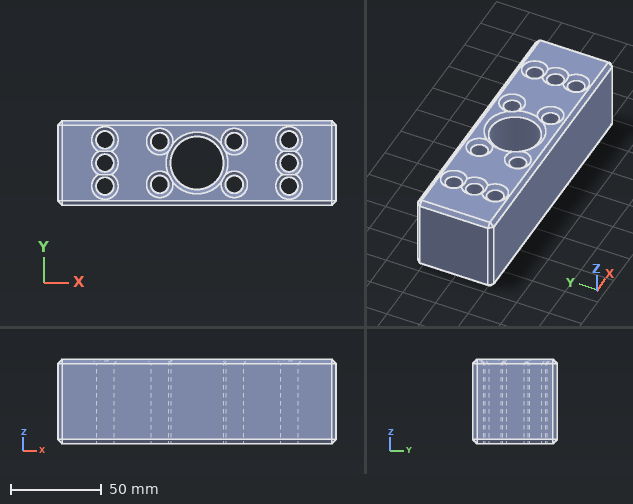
import cadquery as cq

length = 153.3
side = 46.8
chamfer = 2.5

bore_diameter = 29.1
small_diameter = 9.7
row_x = 50.7
row_pitch = 12.7
bolt_x = 20.5
bolt_y = 11.8


def chamfered_hole(x, y, diameter):
    """Cutter for a through hole with a 45 degree chamfer at the top face."""
    radius = diameter / 2
    mouth_radius = radius + chamfer
    top = side / 2
    drill = cq.Workplane("XY").circle(radius).extrude(side).translate((x, y, -top))
    mouth = cq.Solid.makeCone(radius, mouth_radius, chamfer, cq.Vector(x, y, top - chamfer))
    return drill.union(cq.Workplane(obj=mouth))


block = cq.Workplane("XY").box(length, side, side).edges().chamfer(chamfer)

row_points = [(x, y) for x in (-row_x, row_x) for y in (-row_pitch, 0, row_pitch)]
bolt_points = [(x, y) for x in (-bolt_x, bolt_x) for y in (-bolt_y, bolt_y)]

result = block.cut(chamfered_hole(0, 0, bore_diameter))
for hole_x, hole_y in row_points + bolt_points:
    result = result.cut(chamfered_hole(hole_x, hole_y, small_diameter))